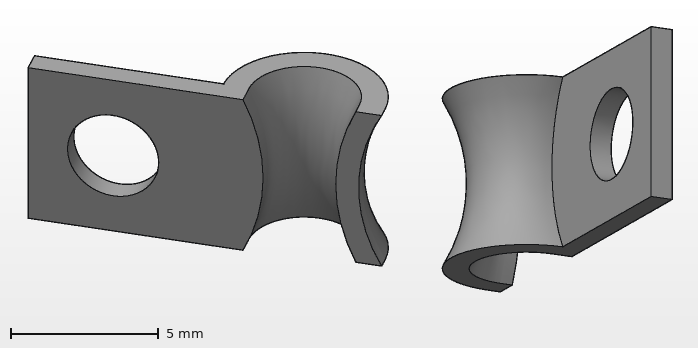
import cadquery as cq
import math

length = 12.35
height = 6.0
thickness = 0.8
hole_diameter = 3.2
hole_x = 2.99

end_radius = 2.85
throat_radius = 1.24
axis_x = length - end_radius
axis_y = 0.74
free_end_y = 0.3

middle_z = height / 2
outer_throat_radius = throat_radius + thickness
outer_sag = end_radius - outer_throat_radius
outer_arc_radius = (middle_z**2 + outer_sag**2) / (2 * outer_sag)
arc_center_radius = outer_throat_radius + outer_arc_radius
bore_arc_radius = outer_arc_radius + thickness
bore_end_radius = arc_center_radius - math.sqrt(bore_arc_radius**2 - middle_z**2)


def waisted_profile(edge_radius, waist_radius):
    """Half section from the loop axis out to a concave wall, toward +X."""
    return (
        cq.Workplane("XZ", origin=(axis_x, axis_y, 0))
        .lineTo(edge_radius, 0)
        .threePointArc((waist_radius, middle_z), (edge_radius, height))
        .lineTo(0, height)
        .close()
    )


def half_loop(edge_radius, waist_radius):
    """Revolve the half section through the +Y side of the axis."""
    profile = waisted_profile(edge_radius, waist_radius)
    return profile.revolve(180, (0, 0, 0), (0, 1, 0))


def straight_side(edge_radius, waist_radius, depth):
    """Extend the +X half section straight toward -Y."""
    return waisted_profile(edge_radius, waist_radius).extrude(depth)


plate = cq.Workplane("XY").box(axis_x, thickness, height, centered=False)

loop = half_loop(end_radius, outer_throat_radius)
lip = straight_side(end_radius, outer_throat_radius, axis_y - free_end_y)

bore = half_loop(bore_end_radius, throat_radius)
opening_right = straight_side(bore_end_radius, throat_radius, axis_y)
opening_left = opening_right.mirror("YZ", (axis_x, 0, 0))

hole = (
    cq.Workplane("XZ", origin=(hole_x, 0, middle_z))
    .circle(hole_diameter / 2)
    .extrude(-thickness)
)

result = plate.union(loop).union(lip)
for cutter in (bore, opening_right, opening_left, hole):
    result = result.cut(cutter)